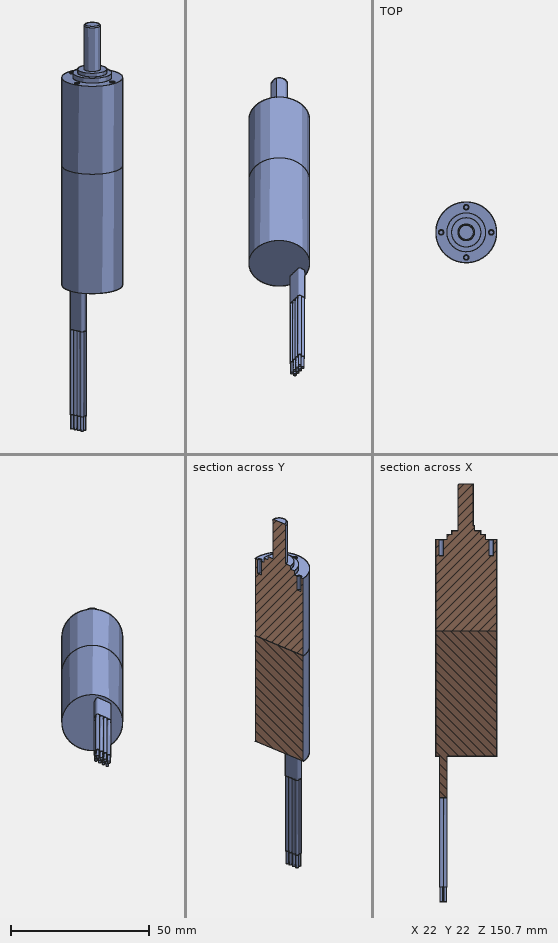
import cadquery as cq


body_diameter = 22.0
motor_length = 45.0
gearbox_length = 33.2

lower_collar_diameter = 14.0
lower_collar_height = 1.8
upper_collar_diameter = 10.5
upper_collar_height = 1.4
shaft_diameter = 6.0
shaft_reach = 20.0
shaft_chamfer = 0.5
flat_depth = 0.5
flat_length = 15.0

hole_count = 4
hole_circle_diameter = 18.1
hole_diameter = 1.5
hole_chamfer = 0.23
hole_depth = 5.9

wire_columns = 4
wire_rows = 2
column_pitch = 1.5
row_pitch = 1.4
wire_diameter = 1.43
core_diameter = 1.0
sleeve_width = 6.0
sleeve_depth = 2.9
sleeve_corner_radius = 0.8
sleeve_length = 14.9
insulation_end = 47.0
core_end = 52.5
cable_offset = 8.3

gearbox_front = motor_length + gearbox_length
shaft_tip = gearbox_front + shaft_reach


def cylinder(diameter, bottom, height):
    """Upright cylinder on the Z axis."""
    return cq.Workplane("XY").workplane(offset=bottom).circle(diameter / 2).extrude(height)


def make_shaft():
    """Output shaft with a chamfered tip and a flat on its +Y side."""
    shaft = cylinder(shaft_diameter, gearbox_front, shaft_reach).faces(">Z").chamfer(shaft_chamfer)
    flat_cut = (
        cq.Workplane("XY")
        .workplane(offset=shaft_tip - flat_length)
        .center(0, shaft_diameter / 2 - flat_depth)
        .rect(shaft_diameter, shaft_diameter, centered=(True, False))
        .extrude(flat_length)
    )
    return shaft.cut(flat_cut)


def make_hole_cutters():
    """Ring of blind holes, each with a chamfered mouth at the gearbox front face."""
    mouth_radius = hole_diameter / 2 + hole_chamfer
    hole_section = (
        cq.Workplane("XZ")
        .moveTo(0, 0)
        .lineTo(mouth_radius, 0)
        .lineTo(hole_diameter / 2, -hole_chamfer)
        .lineTo(hole_diameter / 2, -hole_depth)
        .lineTo(0, -hole_depth)
        .close()
    )
    cutter = hole_section.revolve(360, (0, 0, 0), (0, 1, 0)).val()
    return (
        cq.Workplane("XY")
        .workplane(offset=gearbox_front)
        .polarArray(hole_circle_diameter / 2, 0, 360, hole_count)
        .eachpoint(cutter, combine=False)
    )


def make_gearbox():
    """Gearbox with collars, output shaft and a ring of mounting holes."""
    collar_height = lower_collar_height + upper_collar_height
    gearbox = (
        cylinder(body_diameter, motor_length, gearbox_length)
        .union(cylinder(lower_collar_diameter, gearbox_front, lower_collar_height))
        .union(cylinder(upper_collar_diameter, gearbox_front, collar_height))
        .union(make_shaft())
    )
    return gearbox.cut(make_hole_cutters())


def make_wires(diameter, top_depth, bottom_depth):
    """All cable wires of one diameter between two distances below the motor."""
    return (
        cq.Workplane("XY")
        .workplane(offset=-top_depth)
        .center(0, -cable_offset)
        .rarray(column_pitch, row_pitch, wire_columns, wire_rows)
        .circle(diameter / 2)
        .extrude(top_depth - bottom_depth)
    )


def make_motor():
    """Motor can with its cable."""
    sleeve = (
        cq.Workplane("XY")
        .center(0, -cable_offset)
        .rect(sleeve_width, sleeve_depth)
        .extrude(-sleeve_length)
        .edges("|Z")
        .fillet(sleeve_corner_radius)
    )
    return (
        cylinder(body_diameter, 0, motor_length)
        .union(sleeve)
        .union(make_wires(wire_diameter, sleeve_length, insulation_end))
        .union(make_wires(core_diameter, insulation_end, core_end))
    )


gearbox = make_gearbox()
motor = make_motor()

result = cq.Compound.makeCompound([gearbox.solids().val(), motor.solids().val()])